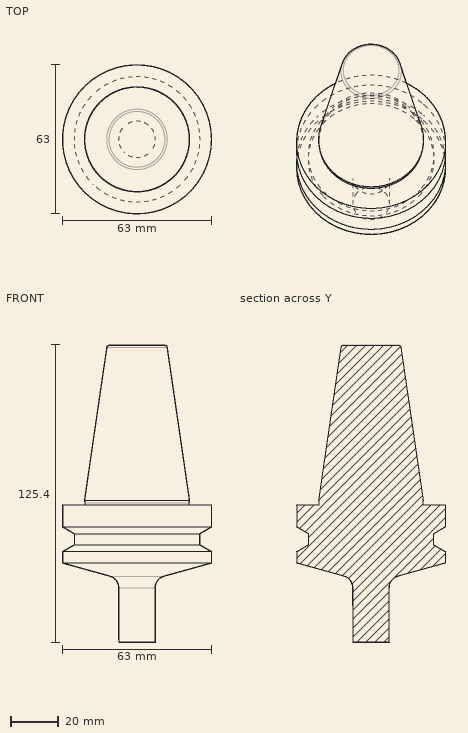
import cadquery as cq
import math

total_height = 125.4
taper_radius = 44.4 / 2
taper_base_z = 60.0
taper_slope = 7 / 48
top_radius = taper_radius - taper_slope * (total_height - taper_base_z)
top_edge_radius = 1.0

neck_radius = 44.0 / 2
neck_top_z = 59.0

flange_radius = 63.0 / 2
flange_top_z = 58.0
flange_bottom_z = 33.5
groove_radius = 53.0 / 2
groove_middle_z = 43.5
groove_floor_width = 4.6
groove_side_angle = 30.0
groove_side_height = (flange_radius - groove_radius) * math.tan(math.radians(groove_side_angle))
groove_floor_half = groove_floor_width / 2
groove_mouth_half = groove_floor_half + groove_side_height

stem_radius = 15.4 / 2
underside_angle = 15.5
stem_fillet_radius = 5.0
underside_drop = (flange_radius - stem_radius) * math.tan(math.radians(underside_angle))
stem_top_z = flange_bottom_z - underside_drop

profile = [
    (0, 0),
    (stem_radius, 0),
    (stem_radius, stem_top_z),
    (flange_radius, flange_bottom_z),
    (flange_radius, groove_middle_z - groove_mouth_half),
    (groove_radius, groove_middle_z - groove_floor_half),
    (groove_radius, groove_middle_z + groove_floor_half),
    (flange_radius, groove_middle_z + groove_mouth_half),
    (flange_radius, flange_top_z),
    (neck_radius, flange_top_z),
    (neck_radius, neck_top_z),
    (taper_radius, taper_base_z),
    (top_radius, total_height),
    (0, total_height),
]
body = cq.Workplane("XZ").polyline(profile).close().revolve(360, (0, 0), (0, 1))

body = body.faces(">Z").edges().fillet(top_edge_radius)

stem_joint = cq.selectors.NearestToPointSelector((0, 0, stem_top_z))
result = body.edges("%CIRCLE").edges(stem_joint).fillet(stem_fillet_radius)